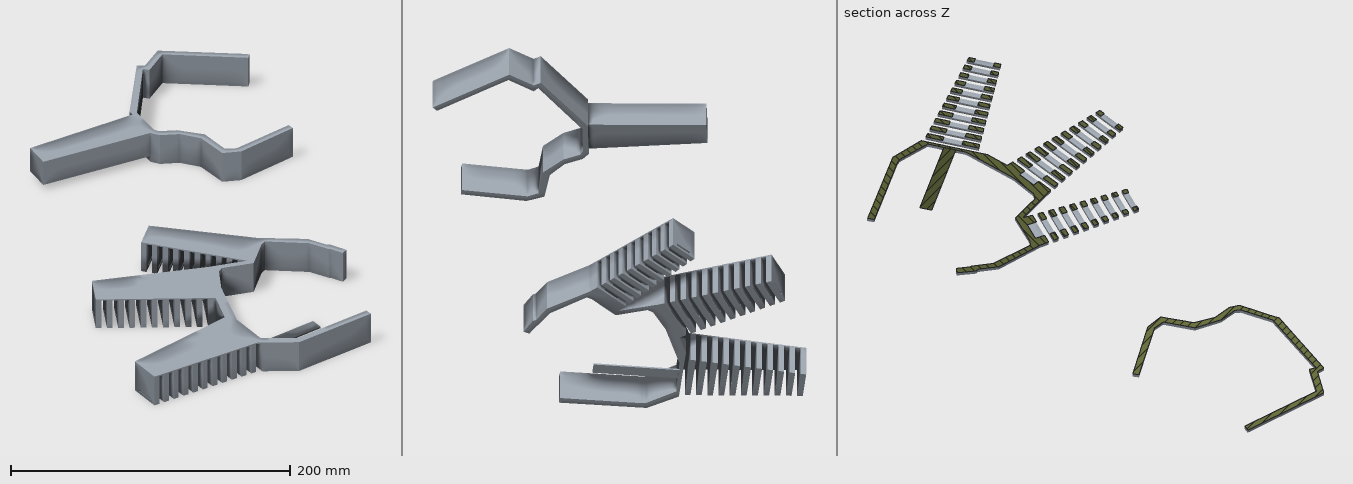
import cadquery as cq
import math

LENGTH = 400.5
HEIGHT = 25.0

ROOF = 1.0
SLIT = 4.0
SLIT_PITCH = 2 * SLIT

CHANNEL_WIDTH = 14.0
CHANNEL_FLOOR = 2.0
CHANNEL_HEIGHT = 1.5

STRIP_WIDTH = 9.2
STRIP_LENGTH = 61.5
STRIP_FLOOR = 2.5
STRIP_THICKNESS = 1.2

HANDLE_FLOOR = 5.0


class Finger:
    """A tapered limb, placed by the centre of its tip and its tilt from the Y axis in degrees."""

    def __init__(self, tip, tilt, length, tip_width, root_width):
        self.tip = tip
        self.cos = math.cos(math.radians(tilt))
        self.sin = math.sin(math.radians(tilt))
        self.length = length
        self.tip_width = tip_width
        self.root_width = root_width

    def point(self, across, along):
        """Plan position of a point measured across and along the finger from its tip."""
        x = self.tip[0] + across * self.cos - along * self.sin
        y = self.tip[1] + across * self.sin + along * self.cos
        return (x, y)

    def rectangle(self, width, start, end):
        """Corners of a rectangle centred on the axis of the finger."""
        half = width / 2
        return [
            self.point(-half, start),
            self.point(half, start),
            self.point(half, end),
            self.point(-half, end),
        ]

    def root_left(self):
        return self.point(-self.root_width / 2, self.length)

    def root_right(self):
        return self.point(self.root_width / 2, self.length)

    def outline(self):
        tip_left = self.point(-self.tip_width / 2, 0)
        tip_right = self.point(self.tip_width / 2, 0)
        return [tip_left, tip_right, self.root_right(), self.root_left()]


HANDLE = Finger(tip=(105.0, 9.2), tilt=12.3, length=85.0, tip_width=20.0, root_width=27.0)

WIDE_LENGTH = 85.3
WIDE_TIP = 24.0
WIDE_ROOT = 40.0
MIDDLE_TILT = -9.0
OUTER_TILT = 20.2
MIDDLE_TIP_X = 282.5
MIDDLE_TIP_Y = WIDE_TIP / 2 * math.sin(math.radians(-MIDDLE_TILT))
OUTER_TIP_X = LENGTH - WIDE_TIP / 2 * math.cos(math.radians(OUTER_TILT))
OUTER_TIP_Y = 9.5

THUMB = Finger(tip=(223.0, 56.5), tilt=-30.0, length=79.3, tip_width=22.0, root_width=30.0)
MIDDLE = Finger((MIDDLE_TIP_X, MIDDLE_TIP_Y), MIDDLE_TILT, WIDE_LENGTH, WIDE_TIP, WIDE_ROOT)
OUTER = Finger((OUTER_TIP_X, OUTER_TIP_Y), OUTER_TILT, WIDE_LENGTH, WIDE_TIP, WIDE_ROOT)

THUMB_SLITS = 9
MIDDLE_SLITS = 10
OUTER_SLITS = 11
OUTER_SLIT_LENGTH = 60.0

WALL_ALONG = 90.5
WALL_LEFT = -12.5
WALL_RIGHT = 16.5


def prism(points, bottom, top):
    """Upright prism on a closed plan outline."""
    return cq.Workplane("XY").workplane(offset=bottom).polyline(points).close().extrude(top - bottom)


def build_clip():
    """Open two-armed band with a raised handle."""
    inner_side = [
        (22.0, 190.5), (26.5, 188.5), (5.5, 130.5), (22.5, 116.0), (19.5, 112.0), (72.0, 93.0),
        (96.0, 98.5), (99.5, 101.5), (101.7, 114.5), (112.0, 132.0), (133.8, 141.0), (135.5, 149.5),
        (117.0, 193.0),
    ]
    outer_right = [(121.5, 195.0), (140.0, 151.5), (138.5, 137.8), (116.0, 128.0), (107.0, 115.0), (104.5, 101.0)]
    outer_left = [(69.5, 88.0), (14.5, 109.0), (16.0, 114.5), (0, 128.5)]
    handle_root = [HANDLE.root_right(), HANDLE.root_left()]
    band = prism(inner_side + outer_right + handle_root + outer_left, 0, HEIGHT)
    handle = prism(HANDLE.outline(), HANDLE_FLOOR, HEIGHT)
    return band.union(handle)


def frame_band():
    """Band and web that join the roots of the three fingers."""
    inner_left = [
        (281.5, 190.0), (284.7, 186.2), (277.5, 179.0), (277.0, 178.0), (266.5, 166.5), (255.5, 136.5),
        (258.3, 133.5), (280.0, 121.5), (280.0, 97.7), (283.5, 94.5), (304.0, 90.5),
    ]
    inner_wall = [OUTER.point(WALL_LEFT, WALL_ALONG), OUTER.point(WALL_RIGHT, WALL_ALONG)]
    right_arm = [(380.5, 124.0), (380.0, 127.5), (360.0, 182.5), (365.0, 184.5), (386.0, 125.5)]
    roots = []
    for finger in (OUTER, MIDDLE, THUMB):
        roots += [finger.root_right(), finger.root_left()]
    left_arm = [(260.5, 167.0), (271.0, 178.0), (271.5, 180.2)]
    return prism(inner_left + inner_wall + right_arm + roots + left_arm, 0, HEIGHT)


def cut_slits(body, finger, count, slit_length):
    """Cut evenly spaced slits across a finger, open at the bottom and closed by the roof."""
    for i in range(count):
        start = SLIT + i * SLIT_PITCH
        body = body.cut(prism(finger.rectangle(slit_length, start, start + SLIT), 0, HEIGHT - ROOF))
    return body


def cut_channel(body, finger):
    """Cut the flat channel from the tip of a finger to its root."""
    outline = finger.rectangle(CHANNEL_WIDTH, 0, finger.length)
    return body.cut(prism(outline, CHANNEL_FLOOR, CHANNEL_FLOOR + CHANNEL_HEIGHT))


def build_frame():
    """Band with three slitted fingers."""
    frame = frame_band()
    for finger in (THUMB, MIDDLE, OUTER):
        frame = frame.union(prism(finger.outline(), 0, HEIGHT))
    frame = cut_slits(frame, THUMB, THUMB_SLITS, THUMB.root_width)
    frame = cut_slits(frame, MIDDLE, MIDDLE_SLITS, MIDDLE.root_width)
    frame = cut_slits(frame, OUTER, OUTER_SLITS, OUTER_SLIT_LENGTH)
    for finger in (THUMB, MIDDLE, OUTER):
        frame = cut_channel(frame, finger)
    return frame


def build_strip():
    """Thin flat strip whose end rests against the inner wall of the frame."""
    outline = OUTER.rectangle(STRIP_WIDTH, WALL_ALONG, WALL_ALONG + STRIP_LENGTH)
    return prism(outline, STRIP_FLOOR, STRIP_FLOOR + STRIP_THICKNESS)


clip = build_clip()
frame = build_frame()
strip = build_strip()

result = cq.Compound.makeCompound([clip.solids().val(), frame.solids().val(), strip.val()])